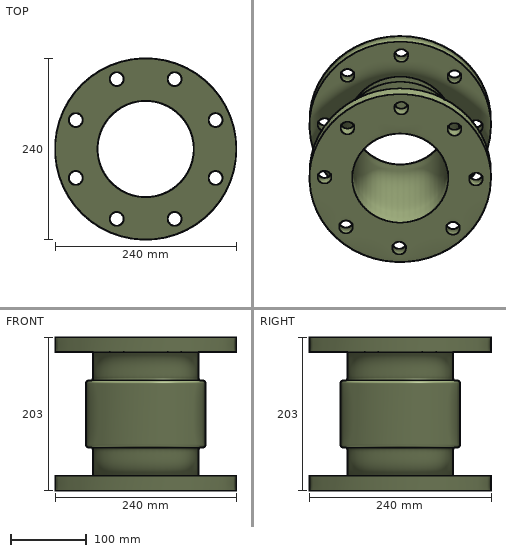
import cadquery as cq

flange_diameter = 240.0
total_height = 203.0
flange_thickness = 20.0

bore_diameter = 127.0
neck_diameter = 140.0
sleeve_diameter = 158.5
sleeve_height = 88.8
sleeve_edge_radius = 3.8
sleeve_root_radius = 3.0

bolt_count = 8
bolt_circle_diameter = 200.0
bolt_hole_diameter = 18.0
bolt_start_angle = 180.0 / bolt_count


def disc(diameter, height, center_z):
    """Solid cylinder on the Z axis, centred at the given height."""
    bottom = cq.Workplane("XY").workplane(offset=center_z - height / 2)
    return bottom.circle(diameter / 2).extrude(height)


def make_neck_and_sleeve():
    """Straight neck with a thicker sleeve around its middle, edges and roots rounded."""
    sleeve = disc(sleeve_diameter, sleeve_height, 0).edges().fillet(sleeve_edge_radius)
    body = disc(neck_diameter, total_height, 0).union(sleeve)

    tolerance = 0.2
    reach = neck_diameter / 2 + tolerance
    for root_z in (-sleeve_height / 2, sleeve_height / 2):
        root = cq.selectors.BoxSelector(
            (-reach, -reach, root_z - tolerance),
            (reach, reach, root_z + tolerance),
            boundingbox=True,
        )
        body = body.edges(root).fillet(sleeve_root_radius)
    return body


def make_bolt_holes():
    """Ring of cylinders that cuts the holes through both flanges."""
    return (
        cq.Workplane("XY")
        .workplane(offset=-total_height / 2)
        .polarArray(bolt_circle_diameter / 2, bolt_start_angle, 360, bolt_count)
        .circle(bolt_hole_diameter / 2)
        .extrude(total_height)
    )


flange_center_z = (total_height - flange_thickness) / 2
body = make_neck_and_sleeve()
for side in (-1, 1):
    body = body.union(disc(flange_diameter, flange_thickness, side * flange_center_z))

bore = disc(bore_diameter, total_height, 0)
result = body.cut(bore).cut(make_bolt_holes())